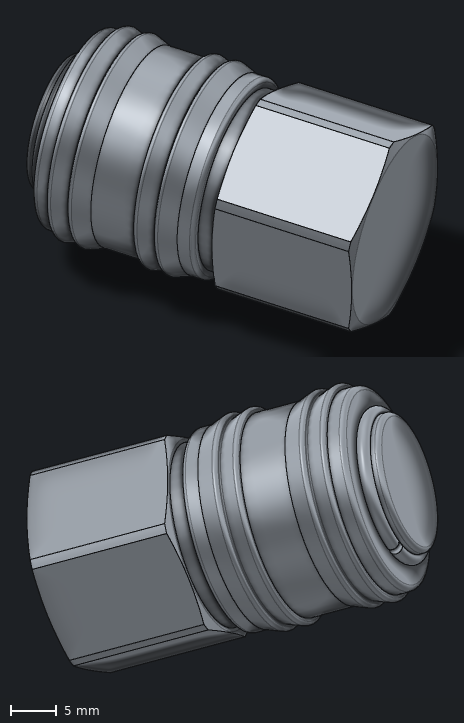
import cadquery as cq
import math


total_length = 41.0
sleeve_start = 2.6
sleeve_end = 22.15
hex_start = 24.03

hub_diameter = 15.95
hub_fillet = 0.57
neck_diameter = 21.0
hex_across_flats = 22.0
hex_corner_diameter = 24.8
hex_face_diameter = 21.8
hex_chamfer_angle = math.radians(15)

ring_outer_diameter = 18.0
wire_diameter = 1.5
ring_gap = 0.9
wire_radius = wire_diameter / 2
ring_center_radius = ring_outer_diameter / 2 - wire_radius
ring_center_x = sleeve_start - wire_radius

sleeve_diameter = 23.3
front_fillet = 0.6
rear_fillet = 0.5
ridge_diameter = 24.8
ridge_pitch = 2.5
ridge_pair_starts = (4.65, 15.1)
ridge_angle = math.radians(20)
crest_fillet = 0.4
valley_fillet = 0.145


def revolve_about_x(profile):
    return profile.revolve(360, (0, 0, 0), (1, 0, 0))


def wire_torus():
    """Full ring of wire, used for the snap ring and for its groove in the hub."""
    wire_section = cq.Workplane("XZ").center(ring_center_x, -ring_center_radius).circle(wire_radius)
    return wire_section.revolve(360, (0, ring_center_radius, 0), (1, ring_center_radius, 0))


def make_ring():
    gap_cutter = cq.Workplane("XY").box(
        2 * wire_diameter, ring_gap, ring_outer_diameter, centered=(True, True, False)
    )
    gap_cutter = gap_cutter.translate((ring_center_x, 0, -ring_outer_diameter))
    return wire_torus().cut(gap_cutter)


def make_hex():
    sharp_corner_diameter = hex_across_flats / math.cos(math.pi / 6)
    prism = (
        cq.Workplane("YZ", origin=(hex_start, 0, 0))
        .transformed(rotate=(0, 0, 90))
        .polygon(6, sharp_corner_diameter)
        .extrude(total_length - hex_start)
    )
    face_radius = hex_face_diameter / 2
    corner_radius = hex_corner_diameter / 2
    chamfer_length = (corner_radius - face_radius) * math.tan(hex_chamfer_angle)
    turned_envelope = revolve_about_x(
        cq.Workplane("XY")
        .moveTo(hex_start, 0)
        .lineTo(hex_start, face_radius)
        .lineTo(hex_start + chamfer_length, corner_radius)
        .lineTo(total_length - chamfer_length, corner_radius)
        .lineTo(total_length, face_radius)
        .lineTo(total_length, 0)
        .close()
    )
    return prism.intersect(turned_envelope)


def make_body():
    hub = cq.Workplane("YZ").circle(hub_diameter / 2).extrude(sleeve_end)
    hub = hub.faces("<X").edges().fillet(hub_fillet)
    hub = hub.cut(wire_torus())
    neck = (
        cq.Workplane("YZ", origin=(sleeve_end, 0, 0))
        .circle(neck_diameter / 2)
        .extrude(hex_start - sleeve_end)
    )
    return hub.union(neck).union(make_hex())


def draw_crest(profile, wall_x):
    """Add a ridge's upright wall and its rounded crest, ending where the sloping flank begins."""
    center_x = wall_x + crest_fillet
    center_r = ridge_diameter / 2 - crest_fillet
    flank_start = (
        center_x + crest_fillet * math.sin(ridge_angle),
        center_r + crest_fillet * math.cos(ridge_angle),
    )
    profile = profile.lineTo(wall_x, center_r)
    profile = profile.threePointArc((center_x, ridge_diameter / 2), flank_start)
    return profile, flank_start


def draw_valley(profile, flank_start, next_wall_x):
    """Add a flank and the fillet that joins it to the upright wall of the next ridge."""
    center_x = next_wall_x - valley_fillet
    flank_drop = (center_x - flank_start[0]) * math.tan(ridge_angle)
    center_r = flank_start[1] - flank_drop + valley_fillet / math.cos(ridge_angle)

    def fillet_point(direction):
        return (
            center_x + valley_fillet * math.sin(direction),
            center_r - valley_fillet * math.cos(direction),
        )

    wall_direction = math.pi / 2
    middle_direction = (wall_direction - ridge_angle) / 2
    profile = profile.lineTo(*fillet_point(-ridge_angle))
    return profile.threePointArc(fillet_point(middle_direction), fillet_point(wall_direction))


def make_sleeve():
    bore_radius = hub_diameter / 2
    sleeve_radius = sleeve_diameter / 2
    profile = cq.Workplane("XY").moveTo(sleeve_start, bore_radius).lineTo(sleeve_start, sleeve_radius)
    for first_wall_x in ridge_pair_starts:
        second_wall_x = first_wall_x + ridge_pitch
        profile = profile.lineTo(first_wall_x, sleeve_radius)
        profile, flank_start = draw_crest(profile, first_wall_x)
        profile = draw_valley(profile, flank_start, second_wall_x)
        profile, flank_start = draw_crest(profile, second_wall_x)
        flank_length = (flank_start[1] - sleeve_radius) / math.tan(ridge_angle)
        profile = profile.lineTo(flank_start[0] + flank_length, sleeve_radius)
    profile = profile.lineTo(sleeve_end, sleeve_radius).lineTo(sleeve_end, bore_radius).close()
    sleeve = revolve_about_x(profile)
    outer_edge = cq.selectors.RadiusNthSelector(-1)
    sleeve = sleeve.faces("<X").edges(outer_edge).fillet(front_fillet)
    return sleeve.faces(">X").edges(outer_edge).fillet(rear_fillet)


body = make_body()
sleeve = make_sleeve()
ring = make_ring()

result = cq.Compound.makeCompound([body.solids().val(), sleeve.solids().val(), ring.solids().val()])